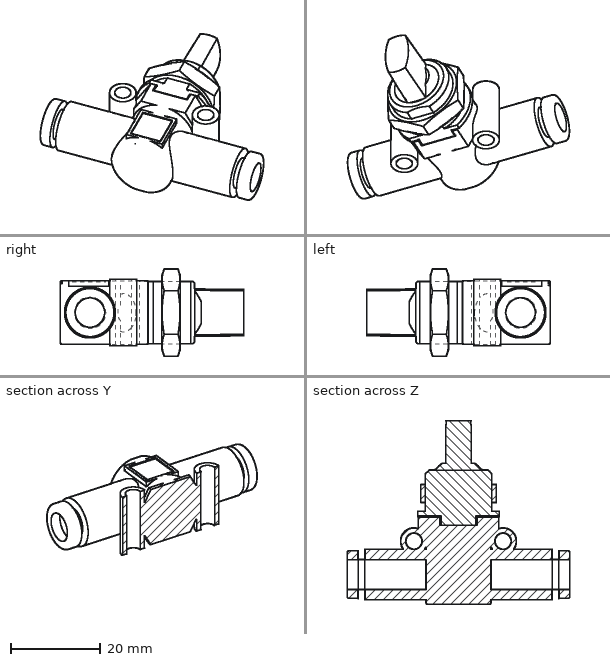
import cadquery as cq
import math


length = 50.0
height = 41.25
housing_bottom_y = -6.7
handle_end_y = housing_bottom_y + height

tube_radius = 5.7
tube_length = 42.0
neck_radius = 3.5
collar_radius = 5.4
collar_width = 2.5
collar_round = 0.5
bore_radius = 3.3

barrel_radius = 7.3
barrel_round = 0.5
housing_half_depth = 7.15

block_bottom_y = 6.75
block_top_y = 12.95
block_flat_half_width = 5.35
block_side_angle = 60.0
block_corner_radius = 2.5

plate_half_width = 4.3
plate_bottom_y = -4.7
plate_top_y = 4.2
plate_border = 0.75
plate_recess = 0.25

ear_spacing = 20.0
ear_y = 7.5
ear_radius = 3.0
ear_hole_radius = 1.8
ear_height = 15.0

bonnet_half_depth = 7.0
tongue_half_width = 3.95
tongue_bottom_y = 11.1
tongue_side_gap = 0.2
flange_gap = 0.15
flange_bottom_y = block_top_y + flange_gap
flange_top_y = 14.25
flange_radius = 9.15
bonnet_radius = 7.5
bonnet_top_y = 23.5
bonnet_chamfer = 0.9

nut_across_flats = 17.0
nut_bottom_y = 16.15
nut_thickness = 4.1
nut_corner_radius = nut_across_flats / 2 / math.cos(math.radians(30))
nut_face_radius = 8.35
nut_bevel_depth = 0.5

cone_base_radius = 5.4
cone_top_radius = 3.7
cone_height = 1.5
handle_base_section = (2.25, 5.0, 5.3, 3.0)
handle_end_section = (2.05, 4.85, 5.25, 2.85)


def plane_at_y(y):
    """Plane across the spindle, facing +Y, with local x = X and local y = -Z."""
    return cq.Workplane(cq.Plane(origin=(0, y, 0), xDir=(1, 0, 0), normal=(0, 1, 0)))


def spindle_cylinder(radius, bottom_y, top_y):
    return plane_at_y(bottom_y).circle(radius).extrude(top_y - bottom_y)


def tube_cylinder(radius, tube_span):
    """Cylinder on the flow axis, centred on the spindle."""
    return cq.Workplane("YZ").circle(radius).extrude(tube_span / 2, both=True)


def box_between(half_width, bottom_y, top_y, bottom_z, top_z):
    """Box centred on X = 0 between the given Y and Z limits."""
    size_y = top_y - bottom_y
    size_z = top_z - bottom_z
    return (
        cq.Workplane("XY")
        .box(2 * half_width, size_y, size_z)
        .translate((0, bottom_y + size_y / 2, bottom_z + size_z / 2))
    )


def slab(half_depth):
    """Large slab that trims a body to flats on +Z and -Z."""
    return cq.Workplane("XY").box(length, 2 * height, 2 * half_depth)


def make_flow_tube():
    tube = tube_cylinder(tube_radius, tube_length)
    necks = tube_cylinder(neck_radius, length - collar_width)
    collars = (
        tube_cylinder(collar_radius, length)
        .faces("<X or >X").edges().fillet(collar_round)
        .cut(tube_cylinder(tube_radius, length - 2 * collar_width))
    )
    bore = tube_cylinder(bore_radius, length)
    return tube.union(necks).union(collars).cut(bore)


def make_barrel():
    """Solid barrel with two flats, rounded at its bottom; it closes the tube bores."""
    return (
        spindle_cylinder(barrel_radius, housing_bottom_y, block_bottom_y)
        .intersect(slab(housing_half_depth))
        .faces("<Y").edges().fillet(barrel_round)
    )


def make_block():
    side_reach = housing_half_depth / math.tan(math.radians(block_side_angle))
    corner_x = block_flat_half_width + side_reach
    outline = [
        (corner_x, 0),
        (block_flat_half_width, housing_half_depth),
        (-block_flat_half_width, housing_half_depth),
        (-corner_x, 0),
        (-block_flat_half_width, -housing_half_depth),
        (block_flat_half_width, -housing_half_depth),
    ]
    block = plane_at_y(block_bottom_y).polyline(outline).close().extrude(block_top_y - block_bottom_y)
    block = block.edges("|Y and (<X or >X)").fillet(block_corner_radius)
    slot = box_between(
        tongue_half_width + tongue_side_gap,
        tongue_bottom_y, block_top_y,
        -housing_half_depth, housing_half_depth,
    )
    return block.cut(slot)


def make_label_plate():
    """Rectangular plate on the +Z side, flush with the housing flat."""
    return box_between(plate_half_width, plate_bottom_y, plate_top_y, 0, housing_half_depth)


def make_label_recess():
    """Shallow recess that leaves a raised border around the label."""
    return box_between(
        plate_half_width - plate_border,
        plate_bottom_y + plate_border, plate_top_y - plate_border,
        housing_half_depth - plate_recess, housing_half_depth,
    )


def make_ears(radius):
    """Two upright cylinders beside the block, one on each side."""
    return (
        cq.Workplane("XY")
        .pushPoints([(side * ear_spacing / 2, ear_y) for side in (-1, 1)])
        .circle(radius)
        .extrude(ear_height / 2, both=True)
    )


def make_housing():
    body = make_flow_tube().union(make_barrel()).union(make_block()).union(make_label_plate())
    body = body.union(make_ears(ear_radius))
    return body.cut(make_label_recess()).cut(make_ears(ear_hole_radius))


def make_bonnet():
    neck = spindle_cylinder(bonnet_radius, flange_bottom_y, bonnet_top_y)
    neck = neck.faces(">Y").chamfer(bonnet_chamfer)
    flange = spindle_cylinder(flange_radius, flange_bottom_y, flange_top_y)
    tongue = box_between(
        tongue_half_width, tongue_bottom_y, flange_bottom_y, -bonnet_half_depth, bonnet_half_depth
    )
    return neck.union(flange).intersect(slab(bonnet_half_depth)).union(tongue)


def make_nut():
    """Hexagon nut with corners on +Z and -Z, bevelled on both faces, its hole flatted to fit the bonnet."""
    hexagon = (
        plane_at_y(nut_bottom_y)
        .transformed(rotate=(0, 0, 90))
        .polygon(6, 2 * nut_corner_radius)
        .extrude(nut_thickness)
    )
    bevel_profile = [
        (0, 0),
        (nut_face_radius, 0),
        (nut_corner_radius, nut_bevel_depth),
        (nut_corner_radius, nut_thickness - nut_bevel_depth),
        (nut_face_radius, nut_thickness),
        (0, nut_thickness),
    ]
    bevel = (
        cq.Workplane("XY", origin=(0, nut_bottom_y, 0))
        .polyline(bevel_profile).close()
        .revolve(360, (0, 0, 0), (0, 1, 0))
    )
    hole = (
        spindle_cylinder(bonnet_radius, nut_bottom_y, nut_bottom_y + nut_thickness)
        .intersect(slab(bonnet_half_depth))
    )
    return hexagon.intersect(bevel).cut(hole)


def handle_outline(workplane, section):
    """Grip cross-section: four arcs meeting at four corners."""
    corner_x, corner_z, crown_z, side_x = section
    return (
        workplane.moveTo(corner_x, corner_z)
        .threePointArc((0, crown_z), (-corner_x, corner_z))
        .threePointArc((-side_x, 0), (-corner_x, -corner_z))
        .threePointArc((0, -crown_z), (corner_x, -corner_z))
        .threePointArc((side_x, 0), (corner_x, corner_z))
        .close()
    )


def make_handle():
    grip_length = handle_end_y - bonnet_top_y
    base = handle_outline(plane_at_y(bonnet_top_y), handle_base_section)
    grip = handle_outline(base.workplane(offset=grip_length), handle_end_section).loft(ruled=True)
    cone = cq.Workplane(
        cq.Solid.makeCone(
            cone_base_radius, cone_top_radius, cone_height,
            pnt=cq.Vector(0, bonnet_top_y, 0), dir=cq.Vector(0, 1, 0),
        )
    )
    return grip.union(cone)


housing = make_housing()
bonnet = make_bonnet()
nut = make_nut()
handle = make_handle()

result = cq.Compound.makeCompound([housing.val(), bonnet.val(), nut.val(), handle.val()])